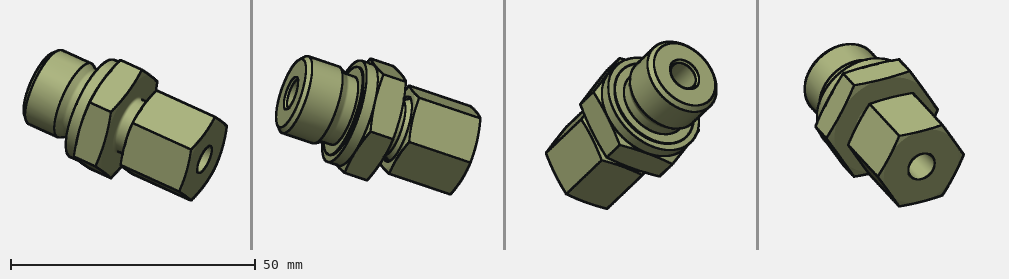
import cadquery as cq
import math

OVERALL_LENGTH = 38.5

STUD_RADIUS = 8.3
STUD_CHAMFER = 0.95
STUD_LENGTH = 7.8
NECK_RADIUS = 7.35
NECK_FILLET = 1.0
RUNOUT_ANGLE = math.radians(30)

COLLAR_START = 12.0
COLLAR_RADIUS = 10.95
HEX_START = 14.5
HEX_END = 20.52
HEX_ACROSS_FLATS = 22.0

WAIST_RADIUS = 5.85
WAIST_FILLET = 0.55
WAIST_END = 23.05
THREAD_RADIUS = 7.0
TUBE_END = 30.8

BORE_RADIUS = 3.0
BORE_CHAMFER = 0.5

SEAL_RADIUS = 9.47
SEAL_PROTRUSION = 0.27
SEAL_DEPTH = 1.0

NUT_START = 24.0
NUT_ACROSS_FLATS = 16.98

HEX_CHAMFER_ANGLE = math.radians(15)


def cylinder(start, end, radius):
    return cq.Workplane("YZ").workplane(offset=start).circle(radius).extrude(end - start)


def ring(start, end, outer_radius, inner_radius):
    return cylinder(start, end, outer_radius).cut(cylinder(start, end, inner_radius))


def chamfered_hexagon(start, end, across_flats):
    """Hexagonal prism with flats facing +Z and -Z and conical chamfers at both ends."""
    flat_radius = across_flats / 2
    corner_radius = flat_radius / math.cos(math.radians(30))
    chamfer_length = (corner_radius - flat_radius) * math.tan(HEX_CHAMFER_ANGLE)
    prism = (
        cq.Workplane("YZ")
        .workplane(offset=start)
        .polygon(6, 2 * corner_radius)
        .extrude(end - start)
    )
    envelope = (
        cq.Workplane("XY")
        .moveTo(start, 0)
        .lineTo(start, flat_radius)
        .lineTo(start + chamfer_length, corner_radius)
        .lineTo(end - chamfer_length, corner_radius)
        .lineTo(end, flat_radius)
        .lineTo(end, 0)
        .close()
        .revolve(360, (0, 0, 0), (1, 0, 0))
    )
    return prism.intersect(envelope)


def turned_core():
    """Turned profile of the fitting: stud, neck, collar, waist and tube end."""
    arc_start_radius = NECK_RADIUS + NECK_FILLET * (1 - math.cos(RUNOUT_ANGLE))
    arc_start = STUD_LENGTH + (STUD_RADIUS - arc_start_radius) / math.tan(RUNOUT_ANGLE)
    arc_end = arc_start + NECK_FILLET * math.sin(RUNOUT_ANGLE)
    thread_start = WAIST_END + (THREAD_RADIUS - WAIST_RADIUS) / math.tan(RUNOUT_ANGLE)
    return (
        cq.Workplane("XY")
        .moveTo(0, 0)
        .lineTo(0, STUD_RADIUS - STUD_CHAMFER)
        .lineTo(STUD_CHAMFER, STUD_RADIUS)
        .lineTo(STUD_LENGTH, STUD_RADIUS)
        .lineTo(arc_start, arc_start_radius)
        .radiusArc((arc_end, NECK_RADIUS), -NECK_FILLET)
        .lineTo(COLLAR_START, NECK_RADIUS)
        .lineTo(COLLAR_START, COLLAR_RADIUS)
        .lineTo(HEX_END, COLLAR_RADIUS)
        .lineTo(HEX_END, WAIST_RADIUS + WAIST_FILLET)
        .radiusArc((HEX_END + WAIST_FILLET, WAIST_RADIUS), -WAIST_FILLET)
        .lineTo(WAIST_END, WAIST_RADIUS)
        .lineTo(thread_start, THREAD_RADIUS)
        .lineTo(TUBE_END, THREAD_RADIUS)
        .lineTo(TUBE_END, 0)
        .close()
        .revolve(360, (0, 0, 0), (1, 0, 0))
    )


def bore_chamfer():
    return (
        cq.Workplane("XY")
        .moveTo(0, 0)
        .lineTo(0, BORE_RADIUS + BORE_CHAMFER)
        .lineTo(BORE_CHAMFER, BORE_RADIUS)
        .lineTo(BORE_CHAMFER, 0)
        .close()
        .revolve(360, (0, 0, 0), (1, 0, 0))
    )


def make_fitting():
    seal_groove = ring(COLLAR_START, COLLAR_START + SEAL_DEPTH, SEAL_RADIUS, NECK_RADIUS)
    return (
        turned_core()
        .union(chamfered_hexagon(HEX_START, HEX_END, HEX_ACROSS_FLATS))
        .cut(seal_groove)
        .cut(cylinder(0, TUBE_END, BORE_RADIUS))
        .cut(bore_chamfer())
    )


def make_seal():
    return ring(COLLAR_START - SEAL_PROTRUSION, COLLAR_START + SEAL_DEPTH, SEAL_RADIUS, NECK_RADIUS)


def make_nut():
    """Hexagonal cap whose threaded recess takes the tube end of the fitting."""
    return (
        chamfered_hexagon(NUT_START, OVERALL_LENGTH, NUT_ACROSS_FLATS)
        .cut(cylinder(NUT_START, TUBE_END, THREAD_RADIUS))
        .cut(cylinder(TUBE_END, OVERALL_LENGTH, BORE_RADIUS))
    )


fitting = make_fitting()
seal = make_seal()
nut = make_nut()

result = cq.Compound.makeCompound([fitting.solids().val(), seal.solids().val(), nut.solids().val()])